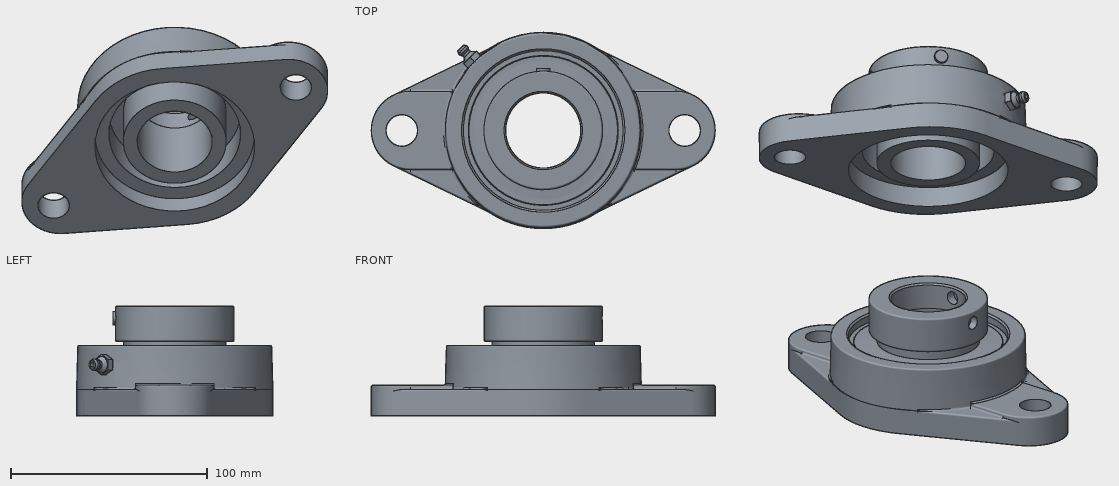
import cadquery as cq
import math


LENGTH = 175.0
EAR_RADIUS = 20.0
EAR_CENTER_X = LENGTH / 2 - EAR_RADIUS
EAR_TOP_Z = 15.5
FLANGE_TOP_Z = 13.5
EDGE_ROUND = 0.9
BOLT_HOLE_DIAMETER = 16.0
BOLT_HOLE_X = 72.0

WIDTH = 100.0
BOSS_BASE_RADIUS = WIDTH / 2
BOSS_TOP_RADIUS = 49.4
BOSS_TOP_Z = 35.9
BOSS_ROUND = 0.9
FOOT_REACH_Y = 41.1
BULGE_RADIUS = 44.8
BULGE_CENTER_Y = WIDTH / 2 - BULGE_RADIUS
HOUSING_BORE_DIAMETER = 81.2
HOUSING_MOUTH_DIAMETER = 83.1

BORE_DIAMETER = 38.2
RING_TOP_Z = 31.3
RING_BOTTOM_Z = 10.7
OUTER_RING_BORE_DIAMETER = 67.0
SEAL_DIAMETER = 76.3
SEAL_BOTTOM_Z = 29.8
SEAL_RIM_Z = 31.7
SEAL_RIM_CHAMFER = 0.4
SEAL_CONE_DIAMETER = 70.4
SEAL_LIP_Z = 32.2
INNER_RING_DIAMETER = 52.3
INNER_RING_BOTTOM_Z = RING_TOP_Z + RING_BOTTOM_Z - 37.8
JOURNAL_DIAMETER = 48.8
JOURNAL_TOP_Z = 42.2

COLLAR_DIAMETER = 60.4
COLLAR_BOTTOM_Z = 37.8
COLLAR_TOP_Z = 55.8
COLLAR_ROUND = 0.9
COLLAR_BORE_CHAMFER = 0.9
SCREW_DIAMETER = 6.8
SCREW_Z = 49.7
SCREW_TIP_Y = 24.0
SCREW_END_Y = 31.5
WRENCH_HOLE_DIAMETER = 6.8
WRENCH_HOLE_DEPTH = 4.4

NIPPLE_Z = 26.0
NIPPLE_ANGLE = 135.0
HEX_ACROSS_FLATS = 9.1
HEX_START = 48.8
HEX_END = 52.7
SHANK_START = 43.8
SHANK_DIAMETER = 6.0
NIPPLE_CONE_RADIUS = 4.2
NIPPLE_WAIST_RADIUS = 2.3
NIPPLE_WAIST_START = 54.6
NIPPLE_WAIST_END = 55.8
NIPPLE_HEAD_DIAMETER = 6.0
NIPPLE_HEAD_START = 56.9
NIPPLE_HEAD_END = 58.1
NIPPLE_TIP_RADIUS = 2.3
NIPPLE_END = 59.3
NIPPLE_HOLE_DIAMETER = 2.5
NIPPLE_HOLE_DEPTH = 2.6


def cylinder(diameter, bottom, top):
    return cq.Workplane("XY").workplane(offset=bottom).circle(diameter / 2).extrude(top - bottom)


def ring(outer_diameter, inner_diameter, bottom, top):
    return cylinder(outer_diameter, bottom, top).cut(cylinder(inner_diameter, bottom, top))


def revolve_profile(profile):
    """Turn a closed (radius, z) profile about the Z axis."""
    return profile.close().revolve(360, (0, 0, 0), (0, 1, 0))


def flange_prism(height):
    """Flange outline, raised to a height: ear arcs and side bulges joined by tangent lines."""
    center_distance = math.hypot(EAR_CENTER_X, BULGE_CENTER_Y)
    center_slope = math.atan2(BULGE_CENTER_Y, EAR_CENTER_X)
    normal_angle = math.acos((BULGE_RADIUS - EAR_RADIUS) / center_distance) - center_slope
    bulge_x = BULGE_RADIUS * math.cos(normal_angle)
    bulge_y = BULGE_CENTER_Y + BULGE_RADIUS * math.sin(normal_angle)
    ear_x = EAR_CENTER_X + EAR_RADIUS * math.cos(normal_angle)
    ear_y = EAR_RADIUS * math.sin(normal_angle)
    return (
        cq.Workplane("XY")
        .moveTo(-bulge_x, bulge_y)
        .threePointArc((0, WIDTH / 2), (bulge_x, bulge_y))
        .lineTo(ear_x, ear_y)
        .threePointArc((LENGTH / 2, 0), (ear_x, -ear_y))
        .lineTo(bulge_x, -bulge_y)
        .threePointArc((0, -WIDTH / 2), (-bulge_x, -bulge_y))
        .lineTo(-ear_x, -ear_y)
        .threePointArc((-LENGTH / 2, 0), (-ear_x, ear_y))
        .close()
        .extrude(height)
    )


def rounded_flange():
    """Flange plate with a rounded rim; the rim stays square underneath the boss."""
    plate = flange_prism(FLANGE_TOP_Z).faces(">Z").edges().fillet(EDGE_ROUND)
    under_boss = flange_prism(FLANGE_TOP_Z).intersect(
        cylinder(2 * BOSS_BASE_RADIUS, 0, FLANGE_TOP_Z)
    )
    return plate.union(under_boss)


def ear_strip():
    """Raised strip along X that carries both ears."""
    return (
        cq.Workplane("XY")
        .slot2D(LENGTH, 2 * EAR_RADIUS)
        .extrude(EAR_TOP_Z)
        .faces(">Z")
        .edges()
        .fillet(EDGE_ROUND)
    )


def strip_feet():
    """Concave rounds where the long sides of the ear strip meet the flange."""
    foot = (
        cq.Workplane("YZ")
        .moveTo(EAR_RADIUS, FLANGE_TOP_Z)
        .lineTo(EAR_RADIUS + EDGE_ROUND, FLANGE_TOP_Z)
        .radiusArc((EAR_RADIUS, FLANGE_TOP_Z + EDGE_ROUND), EDGE_ROUND)
        .close()
        .extrude(EAR_CENTER_X, both=True)
    )
    return foot.union(foot.mirror("XZ")).intersect(flange_prism(EAR_TOP_Z))


def boss_radius(z):
    """Radius of the tapered boss wall at height z."""
    slope = (BOSS_TOP_RADIUS - BOSS_BASE_RADIUS) / (BOSS_TOP_Z - FLANGE_TOP_Z)
    return BOSS_BASE_RADIUS + slope * (z - FLANGE_TOP_Z)


def boss_foot(z):
    """Concave round about the boss, standing on a face at height z."""
    top_z = z + EDGE_ROUND
    wall_radius = boss_radius(top_z)
    return revolve_profile(
        cq.Workplane("XZ")
        .moveTo(HOUSING_BORE_DIAMETER / 2, z)
        .lineTo(wall_radius + EDGE_ROUND, z)
        .radiusArc((wall_radius, top_z), EDGE_ROUND)
        .lineTo(HOUSING_BORE_DIAMETER / 2, top_z)
    )


def boss():
    """Slightly tapered round boss with a rounded top edge."""
    cone = revolve_profile(
        cq.Workplane("XZ")
        .moveTo(0, FLANGE_TOP_Z)
        .lineTo(BOSS_BASE_RADIUS, FLANGE_TOP_Z)
        .lineTo(BOSS_TOP_RADIUS, BOSS_TOP_Z)
        .lineTo(0, BOSS_TOP_Z)
    )
    return cone.faces(">Z").edges().fillet(BOSS_ROUND)


def make_housing(nipple):
    """Cast housing, bored for the outer ring, with a seat for the grease nipple."""
    foot_area = cq.Workplane("XY").rect(LENGTH, 2 * FOOT_REACH_Y).extrude(BOSS_TOP_Z)
    flange_area = flange_prism(BOSS_TOP_Z).intersect(foot_area)
    strip_area = cq.Workplane("XY").slot2D(LENGTH, 2 * EAR_RADIUS).extrude(BOSS_TOP_Z)
    body = (
        rounded_flange()
        .union(ear_strip())
        .union(strip_feet())
        .union(boss_foot(FLANGE_TOP_Z).intersect(flange_area))
        .union(boss_foot(EAR_TOP_Z).intersect(strip_area))
        .union(boss())
    )
    mouth_depth = (HOUSING_MOUTH_DIAMETER - HOUSING_BORE_DIAMETER) / 2
    bore = cylinder(HOUSING_BORE_DIAMETER, 0, BOSS_TOP_Z)
    mouth = (
        cylinder(HOUSING_MOUTH_DIAMETER, BOSS_TOP_Z - mouth_depth, BOSS_TOP_Z)
        .faces("<Z")
        .chamfer(mouth_depth * 0.999)
    )
    bolt_holes = (
        cq.Workplane("XY")
        .pushPoints([(-BOLT_HOLE_X, 0), (BOLT_HOLE_X, 0)])
        .circle(BOLT_HOLE_DIAMETER / 2)
        .extrude(EAR_TOP_Z)
    )
    return body.cut(bore).cut(mouth).cut(bolt_holes).cut(nipple)


def make_outer_ring():
    """Outer bearing ring with a counterbore for the seal."""
    blank = ring(HOUSING_BORE_DIAMETER, OUTER_RING_BORE_DIAMETER, RING_BOTTOM_Z, RING_TOP_Z)
    return blank.cut(cylinder(SEAL_DIAMETER, SEAL_BOTTOM_Z, RING_TOP_Z))


def make_seal():
    """Seal disc between the rings: flat rim, then a shallow cone up to the lip."""
    return revolve_profile(
        cq.Workplane("XZ")
        .moveTo(INNER_RING_DIAMETER / 2, SEAL_BOTTOM_Z)
        .lineTo(SEAL_DIAMETER / 2, SEAL_BOTTOM_Z)
        .lineTo(SEAL_DIAMETER / 2, SEAL_RIM_Z - SEAL_RIM_CHAMFER)
        .lineTo(SEAL_DIAMETER / 2 - SEAL_RIM_CHAMFER, SEAL_RIM_Z)
        .lineTo(SEAL_CONE_DIAMETER / 2, SEAL_RIM_Z)
        .lineTo(INNER_RING_DIAMETER / 2, SEAL_LIP_Z)
    )


def make_inner_ring():
    """Inner bearing ring, reduced at the top to a journal for the locking collar."""
    shoulder = cylinder(INNER_RING_DIAMETER, INNER_RING_BOTTOM_Z, COLLAR_BOTTOM_Z)
    journal = cylinder(JOURNAL_DIAMETER, COLLAR_BOTTOM_Z, JOURNAL_TOP_Z)
    bore = cylinder(BORE_DIAMETER, INNER_RING_BOTTOM_Z, JOURNAL_TOP_Z)
    return shoulder.union(journal).cut(bore)


def make_set_screw():
    """Set screw along +Y, standing proud of the collar and short of the bore."""
    return (
        cq.Workplane("XZ", origin=(0, SCREW_END_Y, SCREW_Z))
        .circle(SCREW_DIAMETER / 2)
        .extrude(SCREW_END_Y - SCREW_TIP_Y)
    )


def make_collar():
    """Locking collar with a screw hole on +Y and a blind wrench hole on +X."""
    blank = cylinder(COLLAR_DIAMETER, COLLAR_BOTTOM_Z, COLLAR_TOP_Z).edges().fillet(COLLAR_ROUND)
    bore = cylinder(BORE_DIAMETER, COLLAR_BOTTOM_Z, COLLAR_TOP_Z)
    journal_recess = cylinder(JOURNAL_DIAMETER, COLLAR_BOTTOM_Z, JOURNAL_TOP_Z)
    screw_hole = (
        cq.Workplane("XZ", origin=(0, COLLAR_DIAMETER / 2, SCREW_Z))
        .circle(SCREW_DIAMETER / 2)
        .extrude(COLLAR_DIAMETER / 2)
    )
    wrench_hole = (
        cq.Workplane("YZ", origin=(COLLAR_DIAMETER / 2 - WRENCH_HOLE_DEPTH, 0, SCREW_Z))
        .circle(WRENCH_HOLE_DIAMETER / 2)
        .extrude(WRENCH_HOLE_DEPTH)
    )
    collar = blank.cut(bore).faces(">Z").edges("%CIRCLE").edges(cq.selectors.RadiusNthSelector(0))
    return collar.chamfer(COLLAR_BORE_CHAMFER).cut(journal_recess).cut(screw_hole).cut(wrench_hole)


def make_nipple():
    """Grease nipple: shank, hexagon and a waisted head with a grease hole."""
    hexagon_diameter = HEX_ACROSS_FLATS / math.cos(math.pi / 6)
    hexagon = (
        cq.Workplane("XY")
        .workplane(offset=HEX_START)
        .polygon(6, hexagon_diameter)
        .extrude(HEX_END - HEX_START)
    )
    turned = revolve_profile(
        cq.Workplane("XZ")
        .moveTo(0, SHANK_START)
        .lineTo(SHANK_DIAMETER / 2, SHANK_START)
        .lineTo(SHANK_DIAMETER / 2, HEX_END)
        .lineTo(NIPPLE_CONE_RADIUS, HEX_END)
        .lineTo(NIPPLE_WAIST_RADIUS, NIPPLE_WAIST_START)
        .lineTo(NIPPLE_WAIST_RADIUS, NIPPLE_WAIST_END)
        .lineTo(NIPPLE_HEAD_DIAMETER / 2, NIPPLE_HEAD_START)
        .lineTo(NIPPLE_HEAD_DIAMETER / 2, NIPPLE_HEAD_END)
        .lineTo(NIPPLE_TIP_RADIUS, NIPPLE_END)
        .lineTo(0, NIPPLE_END)
    )
    grease_hole = cylinder(NIPPLE_HOLE_DIAMETER, NIPPLE_END - NIPPLE_HOLE_DEPTH, NIPPLE_END)
    return (
        hexagon.union(turned)
        .cut(grease_hole)
        .rotate((0, 0, 0), (0, 1, 0), 90)
        .rotate((0, 0, 0), (0, 0, 1), NIPPLE_ANGLE)
        .translate((0, 0, NIPPLE_Z))
    )


nipple = make_nipple()
housing = make_housing(nipple)
outer_ring = make_outer_ring()
seal = make_seal()
inner_ring = make_inner_ring()
collar = make_collar()
set_screw = make_set_screw()

result = cq.Compound.makeCompound(
    [
        housing.val(),
        outer_ring.val(),
        seal.val(),
        inner_ring.val(),
        collar.val(),
        set_screw.val(),
        nipple.val(),
    ]
)